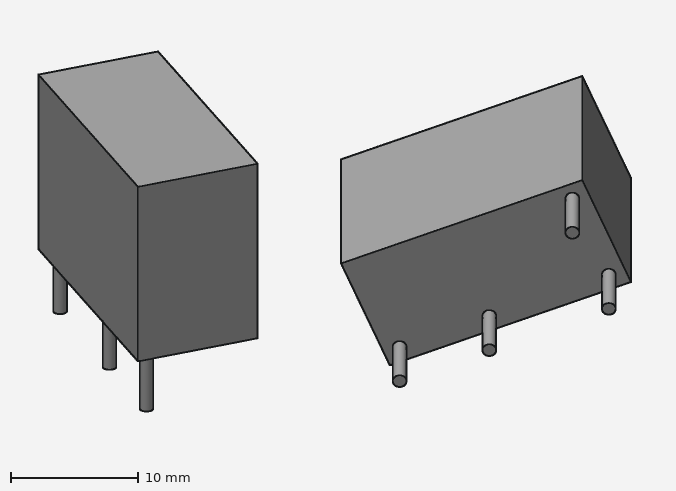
import cadquery as cq

HOUSING_LENGTH = 20.5
HOUSING_WIDTH = 10.2
TOTAL_HEIGHT = 20.65
PIN_LENGTH = 5.1
HOUSING_HEIGHT = TOTAL_HEIGHT - PIN_LENGTH

PIN_DIAMETER = 1.1
GRID_PITCH = 2.55
END_PIN_X = 3.5 * GRID_PITCH
MIDDLE_PIN_X = 0.5 * GRID_PITCH
PIN_ROW_Y = 1.5 * GRID_PITCH
PIN_POSITIONS = [
    (-END_PIN_X, -PIN_ROW_Y),
    (MIDDLE_PIN_X, -PIN_ROW_Y),
    (END_PIN_X, -PIN_ROW_Y),
    (-END_PIN_X, PIN_ROW_Y),
]


def make_housing():
    """Block with its underside at Z = 0."""
    return cq.Workplane("XY").box(
        HOUSING_LENGTH, HOUSING_WIDTH, HOUSING_HEIGHT, centered=(True, True, False)
    )


def make_pin(x, y):
    """Round pin hanging down from the underside of the housing."""
    return cq.Workplane("XY").center(x, y).circle(PIN_DIAMETER / 2).extrude(-PIN_LENGTH)


housing = make_housing()
pins = [make_pin(x, y) for x, y in PIN_POSITIONS]

result = cq.Compound.makeCompound([housing.val(), *[pin.val() for pin in pins]])